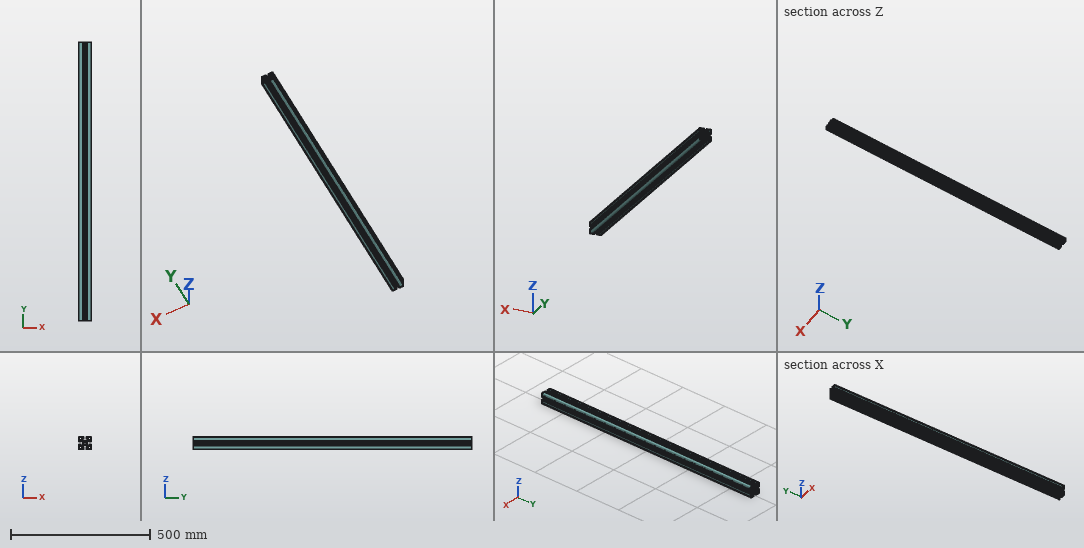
import cadquery as cq

SIZE = 45.0
LENGTH = 1000.0
CORNER_RADIUS = 3.0
BORE_DIAMETER = 10.0

SLOT_MOUTH_WIDTH = 10.0
MOUTH_CHAMFER = 1.1
SLOT_INNER_WIDTH = 18.3
LIP_DEPTH = 7.25
SLOT_FLOOR_WIDTH = 12.0
WEB_OFFSET = 2.0

GROOVE_TOP_WIDTH = 6.0
GROOVE_BOTTOM_WIDTH = 3.0
GROOVE_DEPTH = 0.8

SLOT_WALL = 2.5
OUTER_WALL = 1.5
LIP_END_WALL = 3.9
CAVITY_CORNER_RADIUS = 2.5

HALF_SIZE = SIZE / 2
HALF_MOUTH = SLOT_MOUTH_WIDTH / 2
HALF_INNER = SLOT_INNER_WIDTH / 2
HALF_FLOOR = SLOT_FLOOR_WIDTH / 2
LIP_UNDERSIDE = HALF_SIZE - LIP_DEPTH
FLOOR_HEIGHT = HALF_FLOOR + WEB_OFFSET


def section():
    """Workplane on the +Y end; extruding from it runs the full length towards -Y."""
    return cq.Workplane("XZ", origin=(0, LENGTH / 2, 0))


def make_bar():
    """Square bar with rounded long edges and the central through bore."""
    bar = section().rect(SIZE, SIZE).extrude(LENGTH).edges("|Y").fillet(CORNER_RADIUS)
    return bar.cut(section().circle(BORE_DIAMETER / 2).extrude(LENGTH))


def make_slot():
    """Cutter for the T-slot in the +Z side, including its floor groove."""
    right_side = [
        (HALF_MOUTH + MOUTH_CHAMFER, HALF_SIZE),
        (HALF_MOUTH, HALF_SIZE - MOUTH_CHAMFER),
        (HALF_MOUTH, LIP_UNDERSIDE),
        (HALF_INNER, LIP_UNDERSIDE),
        (HALF_INNER, HALF_INNER + WEB_OFFSET),
        (HALF_FLOOR, FLOOR_HEIGHT),
        (GROOVE_TOP_WIDTH / 2, FLOOR_HEIGHT),
        (GROOVE_BOTTOM_WIDTH / 2, FLOOR_HEIGHT - GROOVE_DEPTH),
    ]
    left_side = [(-x, z) for x, z in reversed(right_side)]
    return section().polyline(right_side + left_side).close().extrude(LENGTH)


def make_cavity():
    """Cutter for the hollow in the +X +Z corner: a square joined with two lip arms."""
    outer = HALF_SIZE - OUTER_WALL
    inner = HALF_INNER + SLOT_WALL
    arm_end = HALF_MOUTH + LIP_END_WALL
    arm_bottom = LIP_UNDERSIDE + SLOT_WALL
    outline = [
        (arm_end, outer),
        (outer, outer),
        (outer, arm_end),
        (arm_bottom, arm_end),
        (arm_bottom, inner),
        (inner, inner),
        (inner, arm_bottom),
        (arm_end, arm_bottom),
    ]
    cavity = section().polyline(outline).close().extrude(LENGTH)
    outer_corner = cq.NearestToPointSelector((outer, 0, outer))
    return cavity.edges("|Y").edges(outer_corner).fillet(CAVITY_CORNER_RADIUS)


def cut_around_axis(body, cutter):
    """Cut four copies of the cutter, a quarter turn apart about the Y axis."""
    for quarter in range(4):
        body = body.cut(cutter.rotate((0, 0, 0), (0, 1, 0), 90 * quarter))
    return body


result = make_bar()
result = cut_around_axis(result, make_slot())
result = cut_around_axis(result, make_cavity())